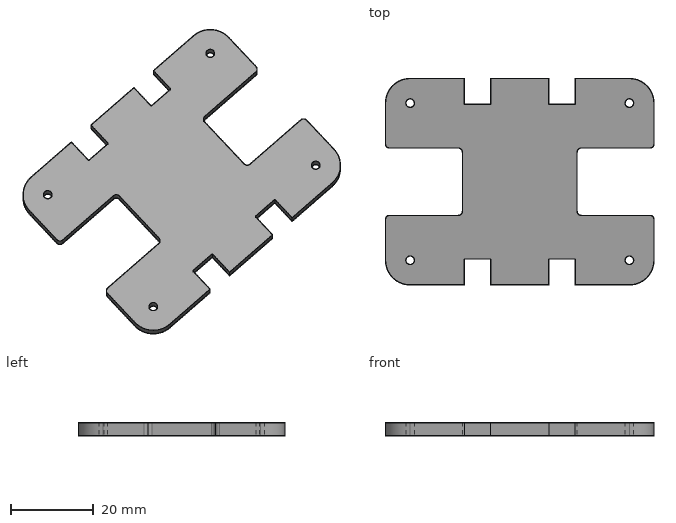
import cadquery as cq

length = 65.0
width = 50.0
thickness = 3.2
corner_radius = 6.0

hole_diameter = 2.0
hole_spacing_x = length - 2 * corner_radius
hole_spacing_y = width - 2 * corner_radius

side_cutout_depth = 18.6
side_cutout_width = 16.25
side_cutout_radius = 1.0

notch_width = 6.4
notch_depth = 6.25
notch_offset = 10.2


def make_plate():
    """Rounded rectangular plate standing on the XY plane."""
    plate = cq.Workplane("XY").rect(length, width).extrude(thickness)
    return plate.edges("|Z").fillet(corner_radius)


def cut_side_openings(plate):
    """Cut an opening in each short side and round its four corners."""
    openings = (
        cq.Workplane("XY")
        .pushPoints([(-length / 2, 0), (length / 2, 0)])
        .rect(2 * side_cutout_depth, side_cutout_width)
        .extrude(thickness)
    )
    margin = side_cutout_radius / 2
    opening_edges = cq.selectors.BoxSelector(
        (-length / 2 - margin, -side_cutout_width / 2 - margin, 0),
        (length / 2 + margin, side_cutout_width / 2 + margin, thickness),
    )
    return plate.cut(openings).edges("|Z").edges(opening_edges).fillet(side_cutout_radius)


def cut_notches(plate):
    """Cut two square notches in each long side."""
    centers = [(x, y) for x in (-notch_offset, notch_offset) for y in (-width / 2, width / 2)]
    notches = (
        cq.Workplane("XY")
        .pushPoints(centers)
        .rect(notch_width, 2 * notch_depth)
        .extrude(thickness)
    )
    return plate.cut(notches)


def drill_holes(plate):
    """Drill a through hole at the centre of each corner radius."""
    return (
        plate.faces(">Z")
        .workplane(origin=(0, 0, thickness))
        .rect(hole_spacing_x, hole_spacing_y, forConstruction=True)
        .vertices()
        .hole(hole_diameter)
    )


result = drill_holes(cut_notches(cut_side_openings(make_plate())))